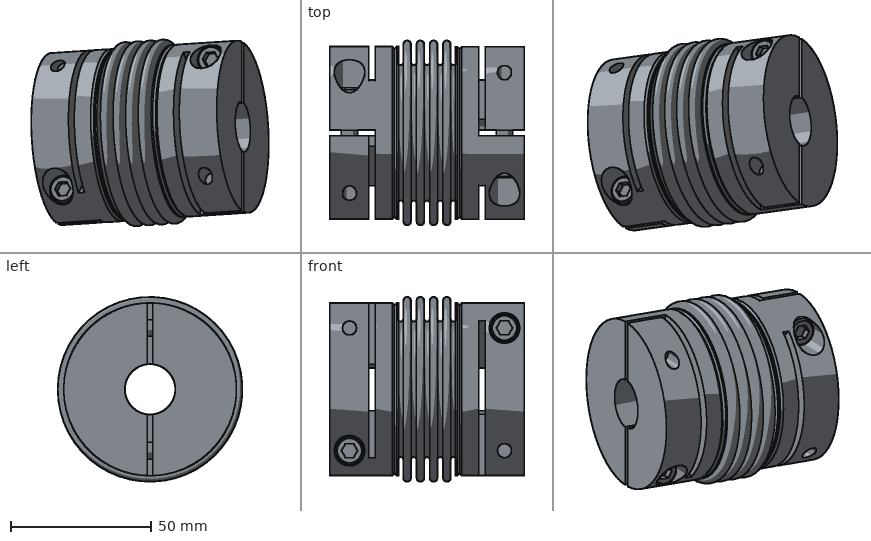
import cadquery as cq
import math

overall_length = 69.5
overall_diameter = 66.0
half_length = overall_length / 2
hub_radius = 30.85
bore_radius = 9.0
hub_inner_end = 10.15

groove_centre = 11.6
groove_depth = 0.8

bellows_radius = overall_diameter / 2
root_radius = 24.25
lobe_count = 4
lobe_pitch = 4.7
lobe_round = 1.4
valley_round = lobe_pitch / 2 - lobe_round

split_width = 1.95
clamp_length = 14.0
relief_width = 2.2
split_depth = clamp_length + relief_width
relief_arc_radius = 41.7
relief_arc_height = 9.9

screw_from_end = 7.1
screw_offset = 21.9
counterbore_radius = 5.4
head_radius = 5.0
head_top = 16.05
head_height = 6.0
head_chamfer = 0.6
hex_across_flats = 5.0
hex_depth = 3.0
shank_radius = 3.0
thread_hole_radius = 2.5
shank_end = 13.9

screw_x = screw_from_end - half_length
head_seat = head_top - head_height


def half_turn(shape, axis):
    """Turn a shape 180 degrees about an axis through the origin."""
    return shape.rotate((0, 0, 0), axis, 180)


def y_cylinder(radius, y_start, y_end):
    """Cylinder on the axis of the screw whose head is on the -Y, -Z side."""
    return (
        cq.Workplane("XZ", origin=(screw_x, y_start, -screw_offset))
        .circle(radius)
        .extrude(y_start - y_end)
    )


def make_hub_body():
    groove_floor = hub_radius - groove_depth
    return (
        cq.Workplane("XY")
        .moveTo(-half_length, 0)
        .lineTo(-half_length, hub_radius)
        .lineTo(-groove_centre - groove_depth, hub_radius)
        .lineTo(-groove_centre, groove_floor)
        .lineTo(-groove_centre + groove_depth, hub_radius)
        .lineTo(-hub_inner_end, hub_radius)
        .lineTo(-hub_inner_end, 0)
        .close()
        .revolve(360, (0, 0, 0), (1, 0, 0))
    )


def make_split():
    return cq.Workplane("XY").box(
        split_depth, split_width, 2 * hub_radius, centered=(False, True, True)
    ).translate((-half_length, 0, 0))


def make_relief():
    """Crosswise slit behind the -Y clamp half: open at +Z, ending in an arc at -Z."""
    plane = cq.Workplane("YZ", origin=(clamp_length - half_length, 0, 0))
    edge_y = -split_width / 2
    arc_end = plane.center(edge_y - relief_arc_radius, relief_arc_height).circle(relief_arc_radius)
    arc_end = arc_end.extrude(relief_width)
    open_end = (
        plane.moveTo(edge_y, 0)
        .lineTo(edge_y, hub_radius)
        .lineTo(-hub_radius, hub_radius)
        .lineTo(-hub_radius, 0)
        .close()
        .extrude(relief_width)
    )
    return arc_end.union(open_end)


def make_screw():
    head = y_cylinder(head_radius, -head_top, -head_seat).faces("<Y").chamfer(head_chamfer)
    hexagon = (
        cq.Workplane("XZ", origin=(screw_x, -head_top, -screw_offset))
        .polygon(6, hex_across_flats / math.cos(math.pi / 6))
        .extrude(-hex_depth)
    )
    shank = y_cylinder(shank_radius, -head_seat, shank_end)
    return head.cut(hexagon).union(shank)


def make_hub():
    """Hub at the -X end, with two screws inserted from opposite sides."""
    counterbore = y_cylinder(counterbore_radius, -hub_radius, -head_seat)
    thread_hole = y_cylinder(thread_hole_radius, 0, hub_radius)
    screw = make_screw()
    relief = make_relief()
    hub = make_hub_body().cut(make_split())
    for cutter in (relief, counterbore, thread_hole):
        hub = hub.cut(cutter).cut(half_turn(cutter, (1, 0, 0)))
    return hub.union(screw).union(half_turn(screw, (1, 0, 0)))


def make_bellows():
    """Solid of revolution with round lobes and round valleys joined by straight flanks."""
    lobe_side = bellows_radius - lobe_round
    valley_side = root_radius + valley_round
    first_valley = -lobe_count * lobe_pitch / 2
    start = first_valley - valley_round
    profile = cq.Workplane("XY").moveTo(start, 0).lineTo(start, valley_side)
    for index in range(lobe_count + 1):
        valley_x = first_valley + index * lobe_pitch
        profile = profile.threePointArc(
            (valley_x, root_radius), (valley_x + valley_round, valley_side)
        )
        if index < lobe_count:
            lobe_x = valley_x + lobe_pitch / 2
            profile = (
                profile.lineTo(lobe_x - lobe_round, lobe_side)
                .threePointArc((lobe_x, bellows_radius), (lobe_x + lobe_round, lobe_side))
                .lineTo(lobe_x + lobe_round, valley_side)
            )
    return profile.lineTo(-start, 0).close().revolve(360, (0, 0, 0), (1, 0, 0))


bore = cq.Workplane("YZ", origin=(-half_length, 0, 0)).circle(bore_radius).extrude(overall_length)
hub = make_hub()
result = make_bellows().union(hub).union(half_turn(hub, (0, 0, 1))).cut(bore)